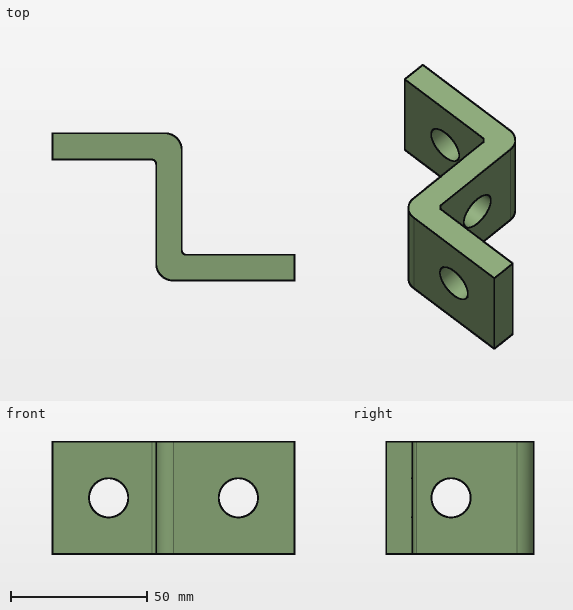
import cadquery as cq

thickness = 9.525
back_flange_thickness = 9.76
length = 88.89
depth = 54.18
height = 41.275
back_flange_length = 47.55
outer_bend_radius = 6.35
inner_bend_radius = 1.5875
hole_diameter = 14.2875
flange_hole_from_end = height / 2
web_hole_from_front = 23.8125

web_right_x = back_flange_length
web_left_x = web_right_x - thickness
back_flange_front_y = depth - back_flange_thickness
mid_height = height / 2


def make_bent_plate():
    """Z-shaped plate standing on edge, with both bends rounded inside and out."""
    plate = (
        cq.Workplane("XY")
        .moveTo(0, depth)
        .lineTo(web_right_x, depth)
        .lineTo(web_right_x, thickness)
        .lineTo(length, thickness)
        .lineTo(length, 0)
        .lineTo(web_left_x, 0)
        .lineTo(web_left_x, back_flange_front_y)
        .lineTo(0, back_flange_front_y)
        .close()
        .extrude(height)
    )
    outer_corners = [(web_right_x, depth), (web_left_x, 0)]
    inner_corners = [(web_left_x, back_flange_front_y), (web_right_x, thickness)]
    plate = round_corners(plate, outer_corners, outer_bend_radius)
    return round_corners(plate, inner_corners, inner_bend_radius)


def round_corners(plate, corners, radius):
    """Fillet the upright edge at each (x, y) corner."""
    for x, y in corners:
        nearest_edge = cq.selectors.NearestToPointSelector((x, y, mid_height))
        plate = plate.edges(nearest_edge).fillet(radius)
    return plate


def flange_hole(x, flange_front_y, flange_thickness):
    """Cutter along Y through the flange that starts at flange_front_y."""
    return cq.Workplane(
        cq.Solid.makeCylinder(
            hole_diameter / 2,
            flange_thickness,
            cq.Vector(x, flange_front_y, mid_height),
            cq.Vector(0, 1, 0),
        )
    )


def web_hole():
    """Cutter along X through the web."""
    return cq.Workplane(
        cq.Solid.makeCylinder(
            hole_diameter / 2,
            thickness,
            cq.Vector(web_left_x, web_hole_from_front, mid_height),
            cq.Vector(1, 0, 0),
        )
    )


result = (
    make_bent_plate()
    .cut(flange_hole(flange_hole_from_end, back_flange_front_y, back_flange_thickness))
    .cut(flange_hole(length - flange_hole_from_end, 0, thickness))
    .cut(web_hole())
)